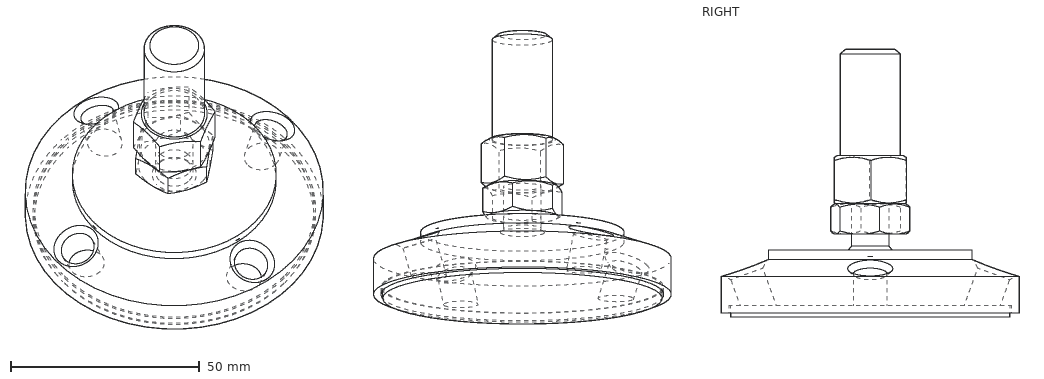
import cadquery as cq
import math

total_height = 71.0
base_bottom = 1.0
pad_thickness = 3.0
cone_bottom = 10.75
cone_top = 15.25
base_top = 17.8
neck_flare_top = 18.8
nut_bottom = 22.0
nut_top = 30.1
stud_hex_top = 42.8

base_diameter = 79.0
flange_diameter = 54.0
pad_diameter = 74.0
pad_recess_diameter = 75.0

hole_count = 4
hole_diameter = 9.0
countersink_diameter = 12.3
hole_reach = 14.2

stud_diameter = 16.0
stud_tip_diameter = 12.95
stud_tip_chamfer_height = 1.3
neck_diameter = 9.95
neck_flare_diameter = 11.7
hex_across_flats = 19.0
hex_chamfer_angle = 30.0
hex_sides = 6
envelope_margin = 0.8
stud_hex_top_face_diameter = 17.45
hex_joint_face_diameter = 18.6
nut_bottom_face_diameter = 19.0
stud_hex_turn = 1.0
nut_turn = 13.0


def cylinder(diameter, bottom, top):
    return cq.Workplane("XY").workplane(offset=bottom).circle(diameter / 2).extrude(top - bottom)


def chamfered_hex(bottom, top, bottom_face_diameter, top_face_diameter, turn):
    """Hexagonal prism whose corners are trimmed by a cone at each end."""
    corner_diameter = hex_across_flats / math.cos(math.pi / hex_sides)
    prism = (
        cq.Workplane("XY")
        .workplane(offset=bottom)
        .polygon(hex_sides, corner_diameter)
        .extrude(top - bottom)
        .rotate((0, 0, 0), (0, 0, 1), turn)
    )
    slope = math.tan(math.radians(hex_chamfer_angle))
    outer_radius = corner_diameter / 2 + envelope_margin
    bottom_radius = bottom_face_diameter / 2
    top_radius = top_face_diameter / 2
    envelope = (
        cq.Workplane("XZ")
        .moveTo(0, bottom)
        .lineTo(bottom_radius, bottom)
        .lineTo(outer_radius, bottom + (outer_radius - bottom_radius) * slope)
        .lineTo(outer_radius, top - (outer_radius - top_radius) * slope)
        .lineTo(top_radius, top)
        .lineTo(0, top)
        .close()
        .revolve()
    )
    return prism.intersect(envelope)


def mounting_hole_cutter(angle):
    """Hole with a 90 degree countersink, entering at the middle of the conical face."""
    cone_run = (base_diameter - flange_diameter) / 2
    cone_rise = cone_top - cone_bottom
    tilt = math.degrees(math.atan2(cone_rise, cone_run))
    entry_radius = (base_diameter + flange_diameter) / 4
    entry_height = (cone_bottom + cone_top) / 2
    hole_radius = hole_diameter / 2
    countersink_radius = countersink_diameter / 2
    countersink_depth = countersink_radius - hole_radius
    clearance = 0.8
    return (
        cq.Workplane("XZ")
        .moveTo(0, -hole_reach)
        .lineTo(hole_radius, -hole_reach)
        .lineTo(hole_radius, -countersink_depth)
        .lineTo(countersink_radius + clearance, clearance)
        .lineTo(0, clearance)
        .close()
        .revolve()
        .rotate((0, 0, 0), (0, 1, 0), tilt)
        .translate((entry_radius, 0, entry_height))
        .rotate((0, 0, 0), (0, 0, 1), angle)
    )


def make_base():
    """Conical base with a raised flange, a pad recess below and mounting holes."""
    base = (
        cq.Workplane("XZ")
        .moveTo(0, base_bottom)
        .lineTo(base_diameter / 2, base_bottom)
        .lineTo(base_diameter / 2, cone_bottom)
        .lineTo(flange_diameter / 2, cone_top)
        .lineTo(flange_diameter / 2, base_top)
        .lineTo(0, base_top)
        .close()
        .revolve()
    )
    base = base.cut(cylinder(pad_recess_diameter, base_bottom, pad_thickness))
    for index in range(hole_count):
        base = base.cut(mounting_hole_cutter(index * 360 / hole_count))
    return base


def make_pad():
    """Flat disc that fills the recess and stands out below the base."""
    return cylinder(pad_diameter, 0, pad_thickness)


def make_stud():
    """Stud with a chamfered tip, a hexagon and a flared neck standing on the base."""
    shaft = (
        cq.Workplane("XZ")
        .moveTo(0, base_top)
        .lineTo(neck_flare_diameter / 2, base_top)
        .lineTo(neck_diameter / 2, neck_flare_top)
        .lineTo(neck_diameter / 2, nut_top)
        .lineTo(stud_diameter / 2, nut_top)
        .lineTo(stud_diameter / 2, total_height - stud_tip_chamfer_height)
        .lineTo(stud_tip_diameter / 2, total_height)
        .lineTo(0, total_height)
        .close()
        .revolve()
    )
    hexagon = chamfered_hex(
        nut_top, stud_hex_top, hex_joint_face_diameter, stud_hex_top_face_diameter, stud_hex_turn
    )
    return shaft.union(hexagon)


def make_nut():
    """Lock nut around the neck, tight against the stud's hexagon."""
    nut = chamfered_hex(
        nut_bottom, nut_top, nut_bottom_face_diameter, hex_joint_face_diameter, nut_turn
    )
    return nut.cut(cylinder(neck_diameter, nut_bottom, nut_top))


base = make_base()
pad = make_pad()
stud = make_stud()
nut = make_nut()

result = cq.Compound.makeCompound([base.val(), pad.val(), stud.val(), nut.val()])